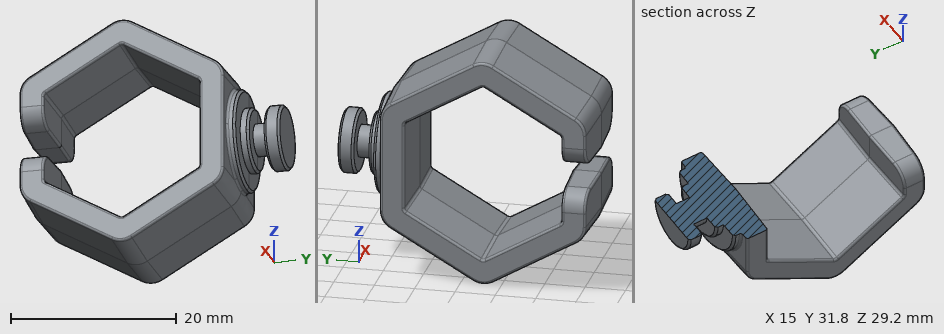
import cadquery as cq
import math

width = 15.0
outer_apothem = 13.0
inner_apothem = 9.47
draft_spread = 0.27
outer_corner_radius = 2.5
inner_corner_radius = 0.5
edge_radius = 0.3

gap = 3.0
jaw_corner_radius = outer_corner_radius

flange_radius = 6.3
flange_top = 13.98
collar_radius = 4.0
collar_top = 15.03
stem_radius = collar_radius / 2
head_radius = collar_radius
head_thickness = 1.97
head_top = 18.78
knob_chamfer = edge_radius
crown_slope = 0.02

half_width = width / 2
head_bottom = head_top - head_thickness
knob_root = (outer_apothem + inner_apothem) / 2
selection_margin = 0.03


def hexagon_diameter(apothem):
    return 2 * apothem / math.cos(math.radians(30))


def drafted_hexagon(apothem, end_apothem, corner_radius):
    """Hexagonal half prism from X = 0 to the +X end, with rounded corners."""
    return (
        cq.Workplane("YZ")
        .transformed(rotate=(0, 0, 90))
        .polygon(6, hexagon_diameter(apothem))
        .workplane(offset=half_width)
        .polygon(6, hexagon_diameter(end_apothem))
        .loft(ruled=True)
        .edges("not (<X or >X)")
        .fillet(corner_radius)
    )


def half_jaw_gap():
    """Cutter through the -Y wall, widening from X = 0 towards the +X end."""
    half_gap = gap / 2
    end_half_gap = half_gap + draft_spread
    return (
        cq.Workplane("XZ", origin=(0, -inner_apothem / 2, 0))
        .polyline([
            (0, -half_gap),
            (half_width, -end_half_gap),
            (half_width, end_half_gap),
            (0, half_gap),
        ])
        .close()
        .extrude(outer_apothem)
    )


def half_ring():
    """The +X half of the ring with rounded jaw corners and a rounded end outline."""
    outer = drafted_hexagon(outer_apothem, outer_apothem - draft_spread, outer_corner_radius)
    inner = drafted_hexagon(inner_apothem, inner_apothem + draft_spread, inner_corner_radius)
    body = outer.cut(inner).cut(half_jaw_gap())
    jaw_zone = cq.selectors.BoxSelector(
        (half_width - selection_margin, -outer_apothem, -gap),
        (half_width + selection_margin, -inner_apothem, gap),
    )
    body = body.edges("|Y").edges(jaw_zone).fillet(jaw_corner_radius)
    return body.faces(">X").edges().fillet(edge_radius)


def y_cylinder(radius, start, end):
    """Cylinder about the Y axis between two Y positions."""
    return cq.Workplane("XZ", origin=(0, start, 0)).circle(radius).extrude(start - end)


def crowned_disc(radius, top):
    """Chamfered disc on the +Y flat whose top falls away slightly from X = 0 to both sides."""
    side_top = top - crown_slope * radius
    roof = (
        cq.Workplane("XY")
        .polyline([
            (-radius, knob_root),
            (radius, knob_root),
            (radius, side_top),
            (0, top),
            (-radius, side_top),
        ])
        .close()
        .extrude(radius, both=True)
    )
    return (
        y_cylinder(radius, knob_root, top)
        .intersect(roof)
        .faces(">Y")
        .edges("not |Z")
        .chamfer(knob_chamfer)
    )


def add_flange(ring):
    """Join the flange to the ring and blend its root into the +Y wall."""
    body = ring.union(crowned_disc(flange_radius, flange_top))
    reach = flange_radius + selection_margin
    root_zone = cq.selectors.BoxSelector(
        (-reach, outer_apothem - draft_spread, -reach),
        (reach, outer_apothem + selection_margin, reach),
    )
    return body.edges(root_zone).edges("not |X").edges("not |Z").fillet(edge_radius)


def head():
    disc = y_cylinder(head_radius, head_bottom, head_top)
    return disc.faces("<Y or >Y").chamfer(knob_chamfer)


right_half = half_ring()
ring = right_half.union(right_half.mirror("YZ"))
result = (
    add_flange(ring)
    .union(crowned_disc(collar_radius, collar_top))
    .union(y_cylinder(stem_radius, knob_root, head_bottom))
    .union(head())
)